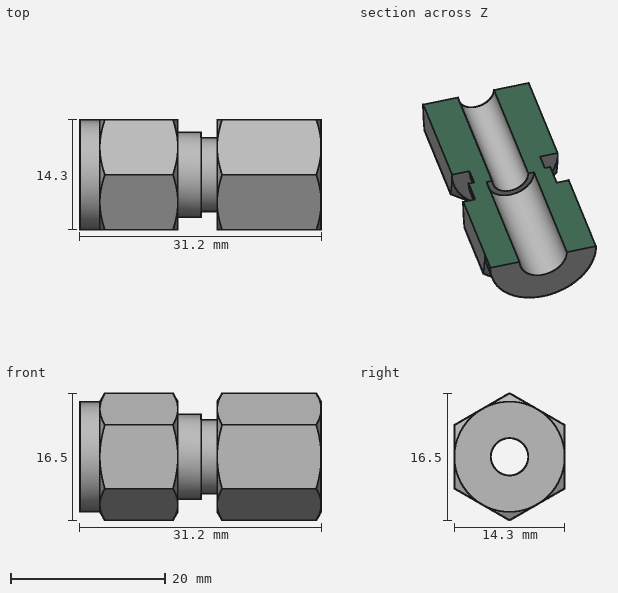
import cadquery as cq
import math

total_length = 31.25
across_flats = 14.28
across_corners = across_flats / math.cos(math.radians(30))
chamfer_angle = 30.0

collar_length = 2.6
nut_length = 10.1
shoulder_length = 3.0
neck_length = 2.1

collar_diameter = across_flats
shoulder_diameter = 11.05
neck_diameter = 9.6

tube_diameter = 6.35
tube_socket_depth = 15.25
flow_diameter = 4.8

nut_start = collar_length
shoulder_start = nut_start + nut_length
neck_start = shoulder_start + shoulder_length
body_start = neck_start + neck_length
body_length = total_length - body_start


def cylinder(start, length, diameter):
    """Round section along X."""
    return cq.Workplane("YZ", origin=(start, 0, 0)).circle(diameter / 2).extrude(length)


def chamfered_hexagon(start, length):
    """Hexagon along X, flats facing +Y and -Y, corners coned off at both ends."""
    prism = (
        cq.Workplane("YZ", origin=(start, 0, 0))
        .transformed(rotate=(0, 0, 90))
        .polygon(6, across_corners)
        .extrude(length)
    )
    end_radius = across_flats / 2
    corner_radius = across_corners / 2
    chamfer_length = (corner_radius - end_radius) * math.tan(math.radians(chamfer_angle))
    end = start + length
    envelope = (
        cq.Workplane("XY")
        .moveTo(start, 0)
        .lineTo(start, end_radius)
        .lineTo(start + chamfer_length, corner_radius)
        .lineTo(end - chamfer_length, corner_radius)
        .lineTo(end, end_radius)
        .lineTo(end, 0)
        .close()
        .revolve(360, (0, 0, 0), (1, 0, 0))
    )
    return prism.intersect(envelope)


collar = cylinder(0, collar_length, collar_diameter)
nut = chamfered_hexagon(nut_start, nut_length)
shoulder = cylinder(shoulder_start, shoulder_length, shoulder_diameter)
neck = cylinder(neck_start, neck_length, neck_diameter)
body = chamfered_hexagon(body_start, body_length)
outside = collar.union(nut).union(shoulder).union(neck).union(body)

tube_socket = cylinder(0, tube_socket_depth, tube_diameter)
flow_passage = cylinder(0, total_length, flow_diameter)
result = outside.cut(tube_socket).cut(flow_passage)